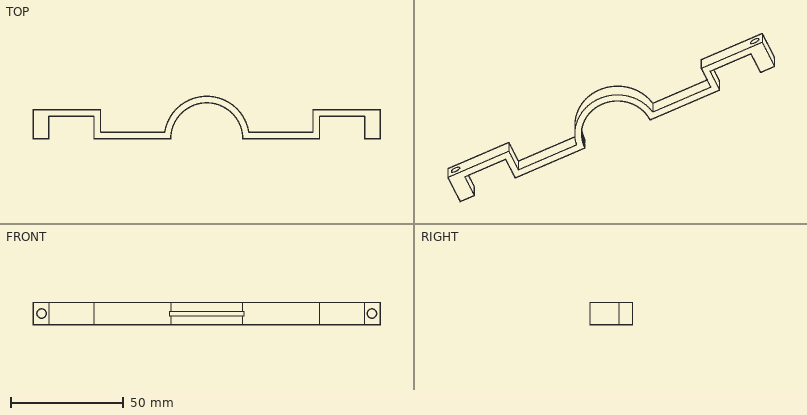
import cadquery as cq
import math

LENGTH = 154.5
HEIGHT = 10.0
WALL = 3.0

SADDLE_RADIUS = 16.0
SADDLE_OUTER_RADIUS = SADDLE_RADIUS + WALL

GROOVE_WIDTH = 2.0
GROOVE_DEPTH = 0.5

END_DEPTH = 13.0
POCKET_LENGTH = 20.0
LEG_LENGTH = 7.0
HOLE_DIAMETER = 4.1
HOLE_SPACING = 147.0

HALF_LENGTH = LENGTH / 2
LEG_INNER_X = HALF_LENGTH - LEG_LENGTH
STEP_OUTER_X = LEG_INNER_X - POCKET_LENGTH
STEP_INNER_X = STEP_OUTER_X - WALL
HOLE_X = HOLE_SPACING / 2


def make_strap():
    """Constant-height strap: saddle arch, flat arms and stepped ends."""
    saddle_corner_x = math.sqrt(SADDLE_OUTER_RADIUS**2 - WALL**2)
    right_outline = [
        (STEP_INNER_X, WALL),
        (STEP_INNER_X, END_DEPTH),
        (HALF_LENGTH, END_DEPTH),
        (HALF_LENGTH, 0),
        (LEG_INNER_X, 0),
        (LEG_INNER_X, END_DEPTH - WALL),
        (STEP_OUTER_X, END_DEPTH - WALL),
        (STEP_OUTER_X, 0),
        (SADDLE_RADIUS, 0),
    ]
    left_outline = [(-x, y) for x, y in reversed(right_outline)]
    return (
        cq.Workplane("XY")
        .moveTo(-saddle_corner_x, WALL)
        .threePointArc((0, SADDLE_OUTER_RADIUS), (saddle_corner_x, WALL))
        .polyline(right_outline, includeCurrent=True)
        .threePointArc((0, SADDLE_RADIUS), (-SADDLE_RADIUS, 0))
        .polyline(left_outline[1:], includeCurrent=True)
        .close()
        .extrude(HEIGHT)
    )


def cut_groove(body):
    """Cut the square groove at mid-height of the saddle."""
    groove = (
        cq.Workplane("XY", origin=(0, 0, (HEIGHT - GROOVE_WIDTH) / 2))
        .circle(SADDLE_RADIUS + GROOVE_DEPTH)
        .extrude(GROOVE_WIDTH)
    )
    return body.cut(groove)


def cut_mounting_holes(body):
    """Drill each end leg through along Y at mid-height."""
    for x in (-HOLE_X, HOLE_X):
        hole = (
            cq.Workplane("XZ", origin=(x, 0, HEIGHT / 2))
            .circle(HOLE_DIAMETER / 2)
            .extrude(-END_DEPTH)
        )
        body = body.cut(hole)
    return body


result = cut_mounting_holes(cut_groove(make_strap()))